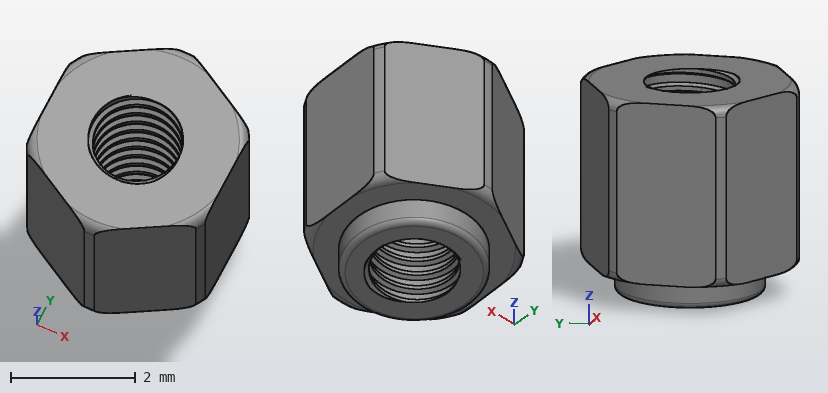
import cadquery as cq
import math

ACROSS_FLATS = 3.18
ACROSS_CORNERS = 3.574
HEX_HEIGHT = 3.005
CORNER_ROUND = 0.165

SPIGOT_DIAMETER = 2.42
SPIGOT_HEIGHT = 0.475
SPIGOT_FILLET = 0.1

MINOR_DIAMETER = 1.45
MAJOR_DIAMETER = 1.6
PITCH = 0.3
FLANK_ANGLE = 30.0
CREST_WIDTH = PITCH / 4
THREAD_PHASE = 230.0
GROOVE_OVERLAP = 0.02
BORE_OVERRUN = 0.2

TOTAL_HEIGHT = SPIGOT_HEIGHT + HEX_HEIGHT


def make_hex_body():
    """Hexagonal prism with its corners turned down and rounded at both ends."""
    hexagon = (
        cq.Workplane("XY")
        .workplane(offset=SPIGOT_HEIGHT)
        .polygon(6, ACROSS_FLATS, circumscribed=True)
        .extrude(HEX_HEIGHT)
    )
    turned_blank = (
        cq.Workplane("XY")
        .workplane(offset=SPIGOT_HEIGHT)
        .circle(ACROSS_CORNERS / 2)
        .extrude(HEX_HEIGHT)
        .edges("%CIRCLE")
        .fillet(CORNER_ROUND)
    )
    return hexagon.intersect(turned_blank)


def make_spigot():
    """Round spigot with a filleted lower rim."""
    return (
        cq.Workplane("XY")
        .circle(SPIGOT_DIAMETER / 2)
        .extrude(SPIGOT_HEIGHT)
        .faces("<Z")
        .edges()
        .fillet(SPIGOT_FILLET)
    )


def make_thread_groove():
    """Helical cutter with a trapezoidal section, overrunning both ends of the bore."""
    minor_radius = MINOR_DIAMETER / 2
    major_radius = MAJOR_DIAMETER / 2
    inner_radius = minor_radius - GROOVE_OVERLAP
    flank_slope = math.tan(math.radians(FLANK_ANGLE))

    mouth_half = (PITCH - CREST_WIDTH) / 2
    root_half = mouth_half - (major_radius - minor_radius) * flank_slope
    inner_half = mouth_half + GROOVE_OVERLAP * flank_slope

    turns = math.ceil(TOTAL_HEIGHT / PITCH) + 2
    path = cq.Workplane(cq.Wire.makeHelix(PITCH, turns * PITCH, minor_radius))
    groove = (
        cq.Workplane("XZ")
        .polyline([
            (inner_radius, -inner_half),
            (major_radius, -root_half),
            (major_radius, root_half),
            (inner_radius, inner_half),
        ])
        .close()
        .sweep(path, isFrenet=True)
    )
    start_height = TOTAL_HEIGHT - (turns - 1) * PITCH
    return groove.rotate((0, 0, 0), (0, 0, 1), THREAD_PHASE).translate((0, 0, start_height))


def make_bore():
    """Cylindrical cutter for the thread's minor diameter, overrunning both ends."""
    return (
        cq.Workplane("XY")
        .workplane(offset=-BORE_OVERRUN)
        .circle(MINOR_DIAMETER / 2)
        .extrude(TOTAL_HEIGHT + 2 * BORE_OVERRUN)
    )


solid_nut = make_hex_body().union(make_spigot())
result = solid_nut.cut(make_thread_groove()).cut(make_bore())